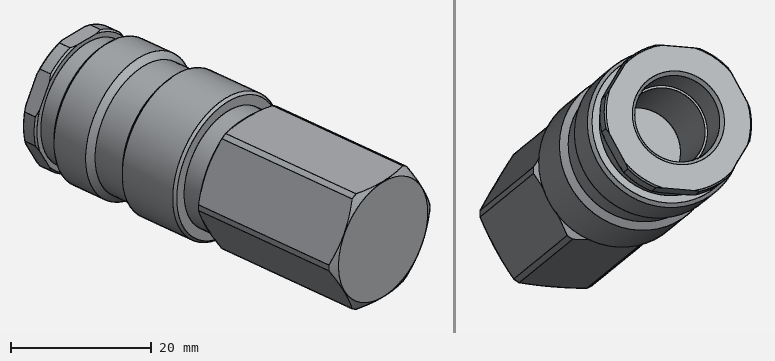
import cadquery as cq
import math

length = 58.5
sleeve_dia = 23.0

collar_length = 2.5
collar_dia = 22.0
collar_across_flats = 21.0
collar_front_chamfer = 0.25
collar_back_chamfer = 0.3

front_neck_dia = 19.8
sleeve_start = 5.9
sleeve_end = 29.25
sleeve_front_chamfer = 0.5
sleeve_back_chamfer = 0.4
groove_dia = 20.95
groove_start = 12.4
groove_end = 19.3
groove_slope = 0.9

rear_neck_dia = 19.0
hex_start = 32.45
hex_across_flats = 19.3
hex_corner_dia = 21.75
hex_chamfer_length = 0.7
hex_face_dia = 19.2

bore_dia = 12.7
bore_mouth_dia = 13.75
bore_mouth_depth = 0.5
bore_step_depth = 6.2
bore_inner_dia = 12.0
bore_depth = 17.55


def turned(stations):
    """Revolve (x, diameter) stations about the X axis into a solid."""
    outline = [(x, dia / 2) for x, dia in stations]
    axis_points = [(stations[-1][0], 0), (stations[0][0], 0)]
    return cq.Workplane("XY").polyline(outline + axis_points).close().revolve(360, (0, 0), (1, 0))


def hex_prism(start, end, across_flats):
    """Hexagonal prism along X with flats at +Z and -Z and corners at +Y and -Y."""
    across_corners = across_flats / math.cos(math.pi / 6)
    return cq.Workplane("YZ", origin=(start, 0, 0)).polygon(6, across_corners).extrude(end - start)


def collar():
    blank = turned([
        (0, collar_dia - 2 * collar_front_chamfer),
        (collar_front_chamfer, collar_dia),
        (collar_length - collar_back_chamfer, collar_dia),
        (collar_length, collar_dia - 2 * collar_back_chamfer),
    ])
    return blank.intersect(hex_prism(0, collar_length, collar_across_flats))


def sleeve_and_necks():
    return turned([
        (collar_length, front_neck_dia),
        (sleeve_start, front_neck_dia),
        (sleeve_start, sleeve_dia - 2 * sleeve_front_chamfer),
        (sleeve_start + sleeve_front_chamfer, sleeve_dia),
        (groove_start, sleeve_dia),
        (groove_start + groove_slope, groove_dia),
        (groove_end - groove_slope, groove_dia),
        (groove_end, sleeve_dia),
        (sleeve_end - sleeve_back_chamfer, sleeve_dia),
        (sleeve_end, sleeve_dia - 2 * sleeve_back_chamfer),
        (sleeve_end, rear_neck_dia),
        (hex_start, rear_neck_dia),
    ])


def hex_body():
    blank = turned([
        (hex_start, hex_face_dia),
        (hex_start + hex_chamfer_length, hex_corner_dia),
        (length - hex_chamfer_length, hex_corner_dia),
        (length, hex_face_dia),
    ])
    return blank.intersect(hex_prism(hex_start, length, hex_across_flats))


def bore():
    return turned([
        (0, bore_mouth_dia),
        (bore_mouth_depth, bore_dia),
        (bore_step_depth, bore_dia),
        (bore_step_depth, bore_inner_dia),
        (bore_depth, bore_inner_dia),
    ])


result = collar().union(sleeve_and_necks()).union(hex_body()).cut(bore())